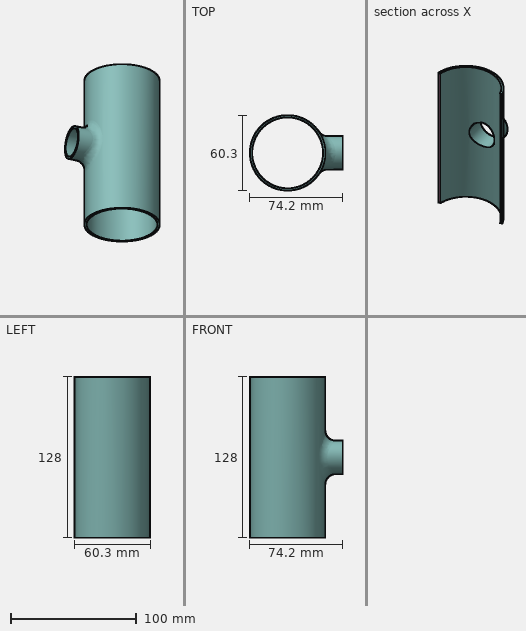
import cadquery as cq

run_diameter = 60.3
run_length = 128.0
branch_diameter = 26.9
branch_reach = 44.0
wall = 2.0
blend_radius = 8.0

run_bore = run_diameter - 2 * wall
branch_bore = branch_diameter - 2 * wall


def run_cylinder(diameter):
    """Cylinder along Z, centred on the origin."""
    return cq.Workplane("XY").circle(diameter / 2).extrude(run_length / 2, both=True)


def branch_cylinder(diameter):
    """Cylinder along +X, from the run axis to the branch end."""
    return cq.Workplane("YZ").circle(diameter / 2).extrude(branch_reach)


def blended_body():
    """Solid outer shape, with the junction of run and branch rounded."""
    body = run_cylinder(run_diameter).union(branch_cylinder(branch_diameter))
    return body.edges("%BSPLINE").fillet(blend_radius)


tee = blended_body()
tee = tee.cut(run_cylinder(run_bore))
result = tee.cut(branch_cylinder(branch_bore))